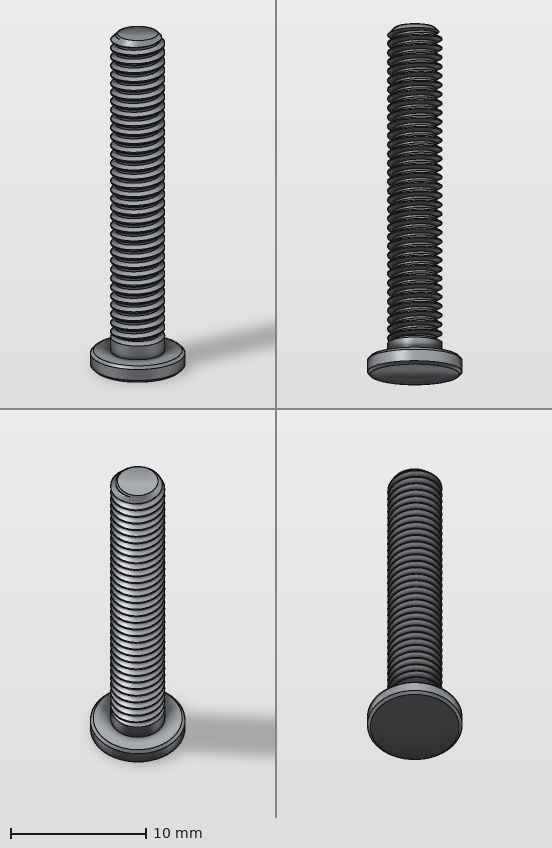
import cadquery as cq
import math

total_length = 26.3
head_diameter = 7.0
head_height = 1.3
head_chamfer = 0.2
thread_diameter = 4.0
thread_pitch = 0.7
plain_shank_length = 1.08
tip_diameter = 3.0
crest_height_at_x = 25.38
flank_slope = math.tan(math.radians(30))

crest_width = thread_pitch / 8
root_width = thread_pitch / 4
flank_rise = (thread_pitch - root_width - crest_width) / 2
thread_depth = flank_rise / flank_slope

head_radius = head_diameter / 2
crest_radius = thread_diameter / 2
root_radius = crest_radius - thread_depth
tip_radius = tip_diameter / 2
thread_start_z = head_height + plain_shank_length

root_bottom_at_x = crest_height_at_x - crest_width / 2 - flank_rise - root_width
spare_turns = 2
turns_below = math.ceil((root_bottom_at_x - thread_start_z) / thread_pitch) + spare_turns
coil_start_z = root_bottom_at_x - turns_below * thread_pitch
coil_turns = math.ceil((total_length - coil_start_z) / thread_pitch) + 1

cone_overlap = 0.03
cutter_margin = 0.53
trim_length = (spare_turns + 2) * thread_pitch


def helix(radius, start_z):
    """One right-handed turn of helix, starting on the +X side."""
    turn = cq.Wire.makeHelix(thread_pitch, thread_pitch, radius)
    return turn.translate(cq.Vector(0, 0, start_z)).Edges()[0]


def make_coil():
    """Threaded rod bounded by helical bands, one set of root, flank and crest bands per turn."""
    outline = [
        (root_radius, 0),
        (root_radius, root_width),
        (crest_radius, root_width + flank_rise),
        (crest_radius, root_width + flank_rise + crest_width),
        (root_radius, thread_pitch),
    ]
    faces = []
    for turn in range(coil_turns):
        turn_z = coil_start_z + turn * thread_pitch
        for (lower_radius, lower_height), (upper_radius, upper_height) in zip(outline, outline[1:]):
            lower_edge = helix(lower_radius, turn_z + lower_height)
            upper_edge = helix(upper_radius, turn_z + upper_height)
            faces.append(cq.Face.makeRuledSurface(lower_edge, upper_edge))

    step_outline = [(0, 0)] + outline + [(0, thread_pitch)]
    for end_z in (coil_start_z, coil_start_z + coil_turns * thread_pitch):
        axis = cq.Edge.makeLine(cq.Vector(0, 0, end_z), cq.Vector(0, 0, end_z + thread_pitch))
        faces.append(cq.Face.makeRuledSurface(helix(root_radius, end_z), axis))
        step_points = [cq.Vector(radius, 0, end_z + height) for radius, height in step_outline]
        faces.append(cq.Face.makeFromWires(cq.Wire.makePolygon(step_points, close=True)))
    return cq.Workplane(obj=cq.Solid.makeSolid(cq.Shell.makeShell(faces)))


def revolve_profile(points):
    """Solid of revolution about Z from (radius, height) points."""
    return cq.Workplane("XZ").polyline(points).close().revolve(360, (0, 0), (0, 1))


def make_head():
    return cq.Workplane("XY").circle(head_radius).extrude(head_height).edges().chamfer(head_chamfer)


def make_shank():
    """Plain shank with a cone on top where the thread runs out along its own flank slope."""
    cone_depth = thread_depth + cone_overlap
    cone_top_z = thread_start_z + cone_depth * flank_slope
    return revolve_profile([
        (0, head_height),
        (crest_radius, head_height),
        (crest_radius, thread_start_z),
        (crest_radius - cone_depth, cone_top_z),
        (0, cone_top_z),
    ])


def make_tip_cutter():
    """Cutter that leaves a flat tip with a 45 degree chamfer."""
    outer_radius = crest_radius + cutter_margin
    top_z = total_length + trim_length
    return revolve_profile([
        (0, total_length),
        (tip_radius, total_length),
        (outer_radius, total_length - (outer_radius - tip_radius)),
        (outer_radius, top_z),
        (0, top_z),
    ])


def make_start_cutter():
    """Cutter that removes the coil below the top of the plain shank."""
    bottom_z = thread_start_z - trim_length
    return (
        cq.Workplane("XY", origin=(0, 0, bottom_z))
        .circle(crest_radius + cutter_margin)
        .extrude(trim_length)
    )


thread = make_coil().cut(make_tip_cutter(), clean=False).cut(make_start_cutter(), clean=False)
shank = thread.union(make_shank(), clean=False)
result = make_head().union(shank, clean=False)